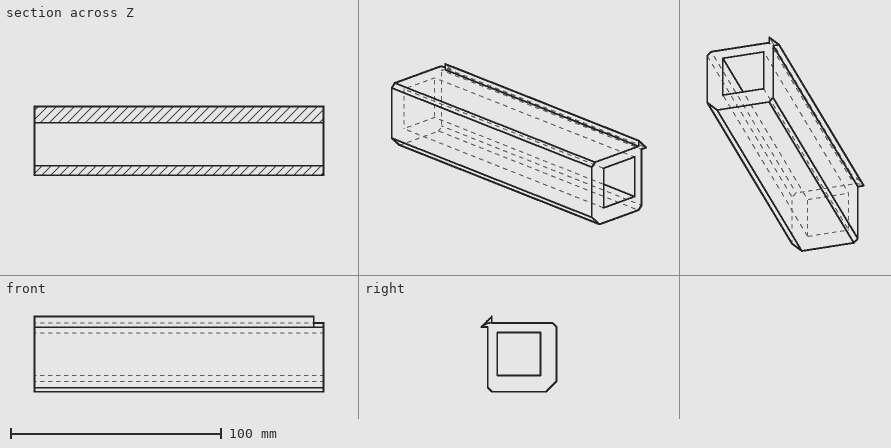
import cadquery as cq
import math

length = 137.2
total_width = 35.74
total_height = 35.71

body_size = 32.72
small_chamfer = 2.0
large_chamfer = 5.0

bore_size = 20.3
bore_y = 4.65
bore_z = 7.75
bore_margin = 1.0

slope_angle = math.radians(45)
lip_root_y = 2.02
lip_tip_y = body_size - total_width
lip_bottom_z = total_height - (lip_root_y - lip_tip_y) * math.tan(slope_angle)

stub_length = 4.6
stub_round = 6.5
stub_start = length - stub_length


def extrude_along_x(outline, start, stop):
    """Prism of a closed (Y, Z) outline between two X positions."""
    plane = cq.Workplane("YZ", origin=(start, 0, 0))
    return plane.polyline(outline).close().extrude(stop - start)


def make_body():
    """Square bar with three chamfered corners; the top -Y corner is notched to the lip root."""
    outline = [
        (0, small_chamfer),
        (small_chamfer, 0),
        (body_size - large_chamfer, 0),
        (body_size, large_chamfer),
        (body_size, body_size - small_chamfer),
        (body_size - small_chamfer, body_size),
        (lip_root_y, body_size),
        (lip_root_y, lip_bottom_z),
        (0, lip_bottom_z),
    ]
    return extrude_along_x(outline, 0, length)


def make_lip():
    """Triangular lip, rising above the body top and overhanging its -Y side."""
    outline = [
        (lip_tip_y, lip_bottom_z),
        (lip_root_y, lip_bottom_z),
        (lip_root_y, total_height),
    ]
    return extrude_along_x(outline, 0, stub_start)


def make_stub():
    """Lip remnant level with the body top, rounded from there into the outer slope."""
    crest_y = lip_tip_y + (body_size - lip_bottom_z) / math.tan(slope_angle)
    arc_start_y = crest_y + stub_round * math.tan(slope_angle / 2)

    def arc_point(angle):
        y = arc_start_y - stub_round * math.sin(angle)
        z = body_size - stub_round * (1 - math.cos(angle))
        return (y, z)

    return (
        cq.Workplane("YZ", origin=(stub_start, 0, 0))
        .moveTo(lip_tip_y, lip_bottom_z)
        .lineTo(lip_root_y, lip_bottom_z)
        .lineTo(lip_root_y, body_size)
        .lineTo(arc_start_y, body_size)
        .threePointArc(arc_point(slope_angle / 2), arc_point(slope_angle))
        .close()
        .extrude(stub_length)
    )


def make_bore():
    """Square through bore, extended past both ends for a clean cut."""
    return (
        cq.Workplane("YZ", origin=(-bore_margin, 0, 0))
        .moveTo(bore_y, bore_z)
        .rect(bore_size, bore_size, centered=False)
        .extrude(length + 2 * bore_margin)
    )


result = make_body().union(make_lip()).union(make_stub()).cut(make_bore())